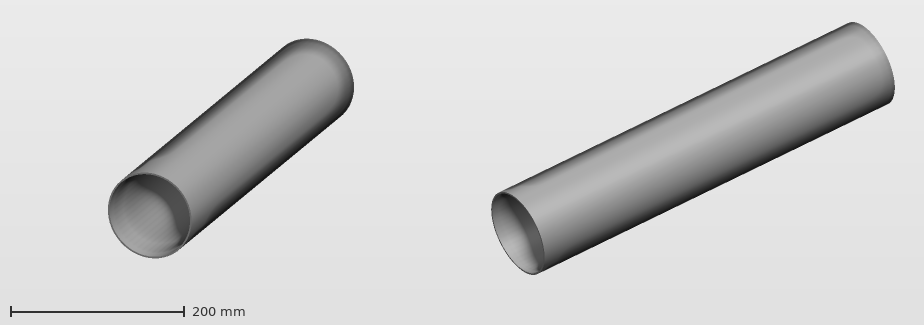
import cadquery as cq

tube_length = 500.0
outer_diameter = 104.0
wall_thickness = 2.0

outer_radius = outer_diameter / 2
inner_radius = outer_radius - wall_thickness

result = (
    cq.Workplane("XZ", origin=(0, tube_length / 2, 0))
    .circle(outer_radius)
    .circle(inner_radius)
    .extrude(tube_length)
)